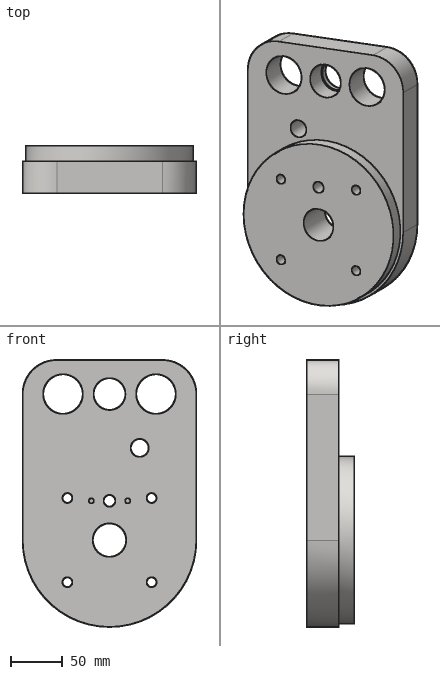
import cadquery as cq

plate_width = 168.0
plate_height = 258.0
plate_thickness = 31.0
corner_radius = 33.0
end_radius = plate_width / 2
top_z = plate_height - end_radius

boss_diameter = 162.0
boss_height = 15.0
total_depth = plate_thickness + boss_height

upper_row_z = top_z - corner_radius
outer_hole_diameter = 38.0
outer_hole_x = 45.0
middle_hole_diameter = 30.5

middle_lip_depth = 7.0
middle_rear_diameter = 33.0

offset_hole_diameter = 17.0
offset_hole_x = 29.2
offset_hole_z = 89.0

bore_diameter = 32.0
bolt_hole_diameter = 9.3
bolt_spacing = 81.3

pilot_hole_diameter = 11.0
pin_row_z = 38.0
pin_hole_diameter = 5.0
pin_hole_x = 17.5
pin_hole_depth = 15.5


def drill(points, diameter, depth, start=0):
    """Cylinders running back from `start` behind the front face, at (x, z) points."""
    return cq.Workplane("XZ", origin=(0, start, 0)).pushPoints(points).circle(diameter / 2).extrude(-depth)


plate = (
    cq.Workplane("XZ")
    .moveTo(-end_radius, 0)
    .threePointArc((0, -end_radius), (end_radius, 0))
    .lineTo(end_radius, top_z)
    .lineTo(-end_radius, top_z)
    .close()
    .extrude(-plate_thickness)
    .edges("|Y and >Z")
    .fillet(corner_radius)
)
boss = drill([(0, 0)], boss_diameter, total_depth)
body = plate.union(boss)

bolt_points = [
    (x * bolt_spacing / 2, z * bolt_spacing / 2) for x in (-1, 1) for z in (-1, 1)
]
outer_points = [(side * outer_hole_x, upper_row_z) for side in (-1, 1)]
pin_points = [(side * pin_hole_x, pin_row_z) for side in (-1, 1)]

holes = [
    (outer_points, outer_hole_diameter, total_depth),
    ([(0, upper_row_z)], middle_hole_diameter, total_depth),
    ([(offset_hole_x, offset_hole_z)], offset_hole_diameter, total_depth),
    ([(0, 0)], bore_diameter, total_depth),
    (bolt_points, bolt_hole_diameter, total_depth),
    ([(0, pin_row_z)], pilot_hole_diameter, total_depth),
    (pin_points, pin_hole_diameter, pin_hole_depth),
]
for points, diameter, depth in holes:
    body = body.cut(drill(points, diameter, depth))

middle_rear_bore = drill(
    [(0, upper_row_z)], middle_rear_diameter, plate_thickness - middle_lip_depth, middle_lip_depth
)
result = body.cut(middle_rear_bore)